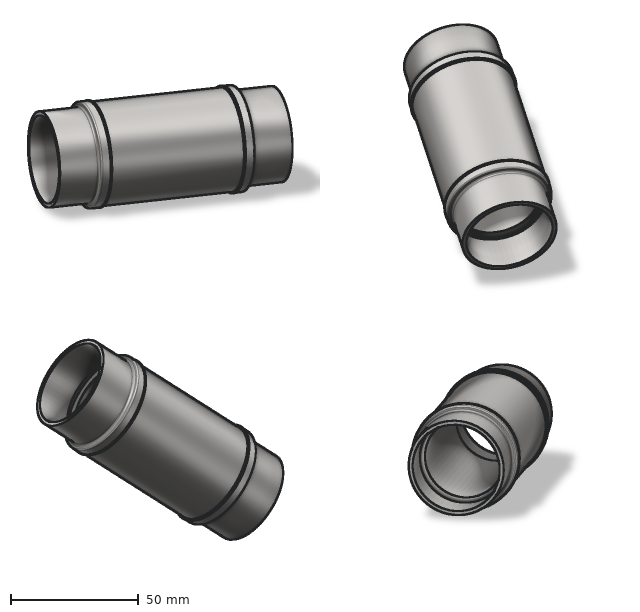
import cadquery as cq
import math

length = 96.6
bore_radius = 15.8
body_radius = 20.7
spigot_radius = 19.0
spigot_length = 15.5

socket_radius = 17.4
socket_straight = 14.5
socket_floor_radius = 19.3
socket_depth = 16.9

collar_radius = 21.2
collar_length = 4.4
root_fillet = 1.0
edge_round = 0.6
lip_radius = 21.35
lip_length = 0.7

half_length = length / 2
spigot_root = half_length - spigot_length
collar_front = spigot_root - root_fillet
collar_back = collar_front - collar_length
lip_front = collar_back + lip_length
lip_crest = collar_back + lip_length / 2


def revolve_about_y(outline):
    return outline.close().revolve(360, (0, 0), (0, 1))


def cylinder_on_y(radius):
    """Full-length cylinder on the Y axis, centred on the origin."""
    return cq.Workplane("XZ").circle(radius).extrude(half_length, both=True)


def end_fitting():
    """Solid +Y collar and spigot, drawn as (radius, place along Y)."""
    diagonal = math.sqrt(0.5)
    edge_x = collar_radius - edge_round
    edge_y = collar_front - edge_round
    edge_middle = (edge_x + edge_round * diagonal, edge_y + edge_round * diagonal)
    root_x = spigot_radius + root_fillet
    root_middle = (root_x - root_fillet * diagonal, spigot_root - root_fillet * diagonal)
    outline = (
        cq.Workplane("XY")
        .moveTo(0, collar_back)
        .lineTo(collar_radius, collar_back)
        .lineTo(lip_radius, lip_crest)
        .lineTo(collar_radius, lip_front)
        .lineTo(collar_radius, edge_y)
        .threePointArc(edge_middle, (edge_x, collar_front))
        .lineTo(root_x, collar_front)
        .threePointArc(root_middle, (spigot_radius, spigot_root))
        .lineTo(spigot_radius, half_length)
        .lineTo(0, half_length)
    )
    return revolve_about_y(outline)


def socket():
    """Hollow of the +Y end, whose wall flares out towards its flat floor."""
    floor = half_length - socket_depth
    outline = (
        cq.Workplane("XY")
        .moveTo(0, floor)
        .lineTo(socket_floor_radius, floor)
        .lineTo(socket_radius, half_length - socket_straight)
        .lineTo(socket_radius, half_length)
        .lineTo(0, half_length)
    )
    return revolve_about_y(outline)


result = cq.Workplane("XZ").circle(body_radius).extrude(collar_back, both=True)

fitting = end_fitting()
result = result.union(fitting).union(fitting.mirror("XZ")).clean()

end_socket = socket()
result = result.cut(cylinder_on_y(bore_radius))
result = result.cut(end_socket).cut(end_socket.mirror("XZ"))